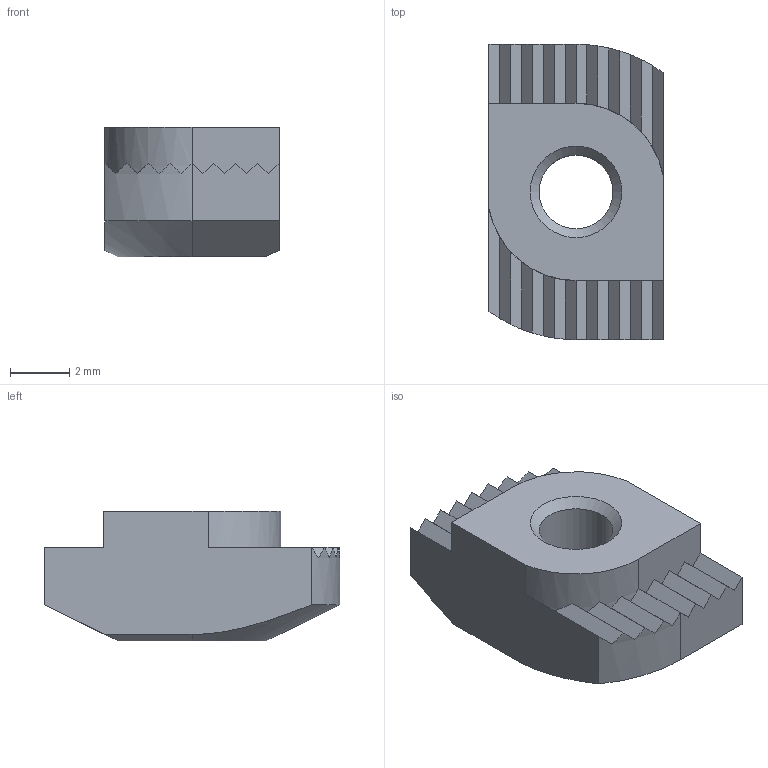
import cadquery as cq
import math

width = 5.9
foot_radius = 5.0
boss_radius = 3.0
base_radius = 2.5
total_height = 4.4
boss_height = 1.22
taper_angle = 26.0
tooth_count = 8
thread_diameter = 2.5
countersink_diameter = 3.1

shoulder_z = total_height - boss_height
taper_height = (foot_radius - base_radius) * math.tan(math.radians(taper_angle))
tooth_pitch = width / tooth_count
tooth_depth = tooth_pitch / 2
countersink_depth = (countersink_diameter - thread_diameter) / 2


def half_rounded_square(workplane, radius):
    """Square of side 2 * radius with two opposite corners fully rounded about the centre."""
    mid = radius * math.sqrt(0.5)
    return (
        workplane.moveTo(0, radius)
        .threePointArc((mid, mid), (radius, 0))
        .lineTo(radius, -radius)
        .lineTo(0, -radius)
        .threePointArc((-mid, -mid), (-radius, 0))
        .lineTo(-radius, radius)
        .close()
    )


def make_foot():
    """Straight-walled foot standing on a tapered underside."""
    underside = half_rounded_square(cq.Workplane("XY"), base_radius)
    underside = half_rounded_square(underside.workplane(offset=taper_height), foot_radius)
    underside = underside.loft(ruled=True)
    walls = half_rounded_square(cq.Workplane("XY").workplane(offset=taper_height), foot_radius)
    return underside.union(walls.extrude(shoulder_z - taper_height))


def make_tooth_grooves():
    """V grooves along Y, leaving sharp crests at the shoulder height."""
    grooves = cq.Workplane("XZ", origin=(0, foot_radius, 0))
    for index in range(tooth_count):
        crest_x = -width / 2 + index * tooth_pitch
        grooves = (
            grooves.moveTo(crest_x, shoulder_z)
            .lineTo(crest_x + tooth_pitch / 2, shoulder_z - tooth_depth)
            .lineTo(crest_x + tooth_pitch, shoulder_z)
            .close()
        )
    return grooves.extrude(2 * foot_radius)


def make_boss():
    """Raised boss, rooted at the bottom of the tooth grooves."""
    root_z = shoulder_z - tooth_depth
    outline = half_rounded_square(cq.Workplane("XY").workplane(offset=root_z), boss_radius)
    return outline.extrude(total_height - root_z)


def make_hole():
    """Through hole with a conical countersink at the top."""
    bore = cq.Workplane("XY").circle(thread_diameter / 2).extrude(total_height)
    countersink = (
        cq.Workplane("XY", origin=(0, 0, total_height - countersink_depth))
        .circle(thread_diameter / 2)
        .workplane(offset=countersink_depth)
        .circle(countersink_diameter / 2)
        .loft()
    )
    return bore.union(countersink)


side_trim = cq.Workplane("XY").box(
    width, 2 * foot_radius, total_height, centered=(True, True, False)
)

body = make_foot().intersect(side_trim).cut(make_tooth_grooves())
body = body.union(make_boss().intersect(side_trim))
result = body.cut(make_hole())